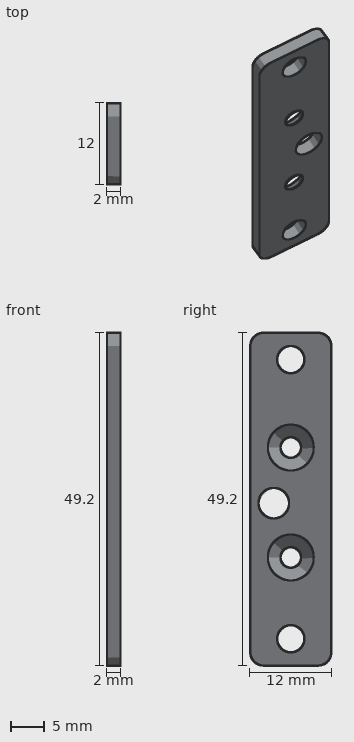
import cadquery as cq

thickness = 2.0
width = 12.0
height = 49.25
corner_radius = 2.0

mount_diameter = 4.0
mount_edge_distance = 4.0
mount_z = height / 2 - mount_edge_distance

small_diameter = 3.0
small_spacing = 16.25
small_pair_z = -0.5
countersink_diameter = 6.8
countersink_depth = (countersink_diameter - small_diameter) / 2
large_diameter = 4.5
large_y = -2.5
large_z = -0.6


def through_holes(diameter, centers):
    """Cylinders along X through the plate at the given (Y, Z) centers."""
    return (
        cq.Workplane("YZ")
        .pushPoints(centers)
        .circle(diameter / 2)
        .extrude(thickness, both=True)
    )


def countersink_cones(centers):
    """Cones that widen the small holes toward the +X face."""
    cone = cq.Solid.makeCone(
        countersink_diameter / 2,
        small_diameter / 2,
        countersink_depth,
        pnt=cq.Vector(thickness / 2, 0, 0),
        dir=cq.Vector(-1, 0, 0),
    )
    cones = cq.Workplane("XY")
    for y, z in centers:
        cones = cones.add(cone.translate(cq.Vector(0, y, z)))
    return cones.combine()


plate = cq.Workplane("XY").box(thickness, width, height).edges("|X").fillet(corner_radius)

mount_holes = through_holes(mount_diameter, [(0, side * mount_z) for side in (-1, 1)])
small_centers = [(0, small_pair_z + side * small_spacing / 2) for side in (-1, 1)]
small_holes = through_holes(small_diameter, small_centers)
countersinks = countersink_cones(small_centers)
large_hole = through_holes(large_diameter, [(large_y, large_z)])

result = plate.cut(mount_holes).cut(small_holes).cut(countersinks).cut(large_hole)